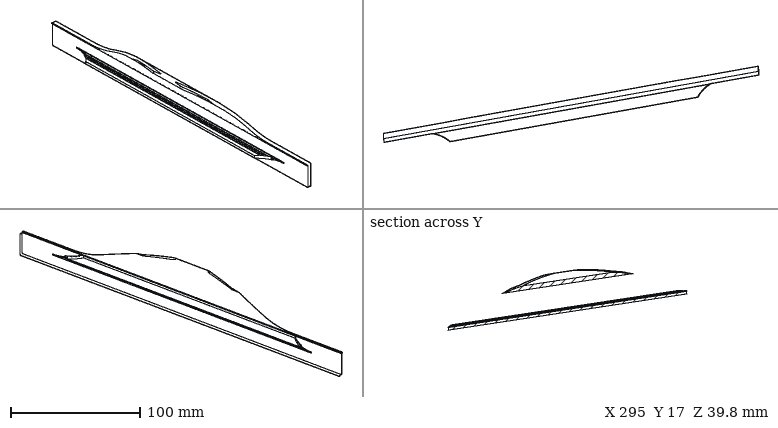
import cadquery as cq
import math

LENGTH = 295.0
PLATE_HEIGHT = 21.0
PLATE_THICKNESS = 3.0
CORNER_RADIUS = 1.0

HOOD_BASE_Z = 20.0
HOOD_BASE_THICKNESS = 4.0
HOOD_REACH = 17.0
HOOD_OUTER_RADIUS = 20.3
HOOD_INNER_RADIUS = 16.5
TIP_EDGE_RADIUS = 1.2
TIP_HALF_WIDTH = 15.0
TIP_TAPER_LENGTH = 26.0
TIP_TAPER_DEPTH = 6.0
BELL_APEX_Z = 39.9
BELL_RADIUS = 213.0
BELL_HALF_WIDTH = 101.0

SHELF_DEPTH = 13.5
SHELF_BOTTOM_Z = 9.0
SHELF_HEIGHT = 2.85
SHELF_ROOT_HALF_LENGTH = 119.5
SHELF_FRONT_HALF_LENGTH = 97.5
WEB_BOTTOM_Z = 9.6
WEB_THICKNESS = 1.0
TOOTH_START_DEPTH = 5.0
TOOTH_COUNT = 4
TOOTH_PITCH = 1.8
TOOTH_SLOPE = math.radians(11.0)


def make_plate():
    """Flat strip that reaches up to the base of the hood."""
    return cq.Workplane("XY").box(
        LENGTH, PLATE_THICKNESS, HOOD_BASE_Z, centered=(True, False, False)
    ).translate((0, -PLATE_THICKNESS, 0))


def make_hood_strip():
    """Full-length curved strip, drawn as a YZ section and extruded along X."""
    center_y = -HOOD_OUTER_RADIUS
    tip_offset = HOOD_OUTER_RADIUS - HOOD_REACH
    tip_top_z = HOOD_BASE_Z + math.sqrt(HOOD_OUTER_RADIUS**2 - tip_offset**2)
    middle = HOOD_OUTER_RADIUS * math.sqrt(0.5)
    inner_center_y = -HOOD_BASE_THICKNESS - HOOD_INNER_RADIUS
    inner_middle = HOOD_INNER_RADIUS * math.sqrt(0.5)
    inner_tip_offset = inner_center_y + HOOD_REACH
    tip_bottom_z = PLATE_HEIGHT + math.sqrt(HOOD_INNER_RADIUS**2 - inner_tip_offset**2)
    strip = (
        cq.Workplane("YZ", origin=(-LENGTH / 2, 0, 0))
        .moveTo(0, HOOD_BASE_Z)
        .threePointArc((center_y + middle, HOOD_BASE_Z + middle), (-HOOD_REACH, tip_top_z))
        .lineTo(-HOOD_REACH, tip_bottom_z)
        .threePointArc(
            (inner_center_y + inner_middle, PLATE_HEIGHT + inner_middle),
            (-HOOD_BASE_THICKNESS, PLATE_HEIGHT),
        )
        .lineTo(-HOOD_BASE_THICKNESS, HOOD_BASE_Z)
        .close()
        .extrude(LENGTH)
    )
    return strip.faces("<Y").edges("|X").fillet(TIP_EDGE_RADIUS)


def make_bell_outline():
    """Block whose top follows the hood outline: flat ends, concave flares and a wide crown."""
    half = LENGTH / 2
    crown_center_z = BELL_APEX_Z - BELL_RADIUS
    rise = PLATE_HEIGHT - crown_center_z
    flare_radius = (BELL_HALF_WIDTH**2 + rise**2 - BELL_RADIUS**2) / (2 * (BELL_RADIUS - rise))
    flare_center_z = PLATE_HEIGHT + flare_radius
    angle = math.asin(BELL_HALF_WIDTH / (BELL_RADIUS + flare_radius))
    join_x = BELL_RADIUS * math.sin(angle)
    join_z = crown_center_z + BELL_RADIUS * math.cos(angle)
    flare_mid_x = BELL_HALF_WIDTH - flare_radius * math.sin(angle / 2)
    flare_mid_z = flare_center_z - flare_radius * math.cos(angle / 2)
    return (
        cq.Workplane("XZ")
        .moveTo(-half, 0)
        .lineTo(-half, PLATE_HEIGHT)
        .lineTo(-BELL_HALF_WIDTH, PLATE_HEIGHT)
        .threePointArc((-flare_mid_x, flare_mid_z), (-join_x, join_z))
        .threePointArc((0, BELL_APEX_Z), (join_x, join_z))
        .threePointArc((flare_mid_x, flare_mid_z), (BELL_HALF_WIDTH, PLATE_HEIGHT))
        .lineTo(half, PLATE_HEIGHT)
        .lineTo(half, 0)
        .close()
        .extrude(HOOD_REACH)
        .edges("|Y")
        .edges("<X or >X")
        .fillet(CORNER_RADIUS)
    )


def make_hood_plan():
    """Plan shape of the hood: its front edge tapers back on both sides of a straight tip."""
    half = LENGTH / 2
    taper_x = TIP_HALF_WIDTH + TIP_TAPER_LENGTH
    taper_y = TIP_TAPER_DEPTH - HOOD_REACH
    return (
        cq.Workplane("XY")
        .moveTo(-half, 0)
        .lineTo(-half, taper_y)
        .lineTo(-taper_x, taper_y)
        .lineTo(-TIP_HALF_WIDTH, -HOOD_REACH)
        .lineTo(TIP_HALF_WIDTH, -HOOD_REACH)
        .lineTo(taper_x, taper_y)
        .lineTo(half, taper_y)
        .lineTo(half, 0)
        .close()
        .extrude(BELL_APEX_Z)
    )


def make_shelf_strip():
    """Full-length shelf section: thin web, then teeth that slope down toward the front."""
    top_z = SHELF_BOTTOM_Z + SHELF_HEIGHT
    web_top_z = WEB_BOTTOM_Z + WEB_THICKNESS
    section = (
        cq.Workplane("YZ", origin=(-LENGTH / 2, 0, 0))
        .moveTo(-PLATE_THICKNESS, WEB_BOTTOM_Z)
        .lineTo(-PLATE_THICKNESS, web_top_z)
        .lineTo(-TOOTH_START_DEPTH, web_top_z)
    )
    for tooth in range(TOOTH_COUNT):
        back = TOOTH_START_DEPTH + tooth * TOOTH_PITCH
        front = SHELF_DEPTH if tooth == TOOTH_COUNT - 1 else back + TOOTH_PITCH
        drop = (front - back) * math.tan(TOOTH_SLOPE)
        section = section.lineTo(-back, top_z).lineTo(-front, top_z - drop)
    return (
        section.lineTo(-SHELF_DEPTH, SHELF_BOTTOM_Z)
        .lineTo(-TOOTH_START_DEPTH, SHELF_BOTTOM_Z)
        .lineTo(-TOOTH_START_DEPTH, WEB_BOTTOM_Z)
        .close()
        .extrude(LENGTH)
    )


def make_shelf_outline():
    """Plan shape of the shelf: each end is an arc that leaves the plate tangentially."""
    run = SHELF_ROOT_HALF_LENGTH - SHELF_FRONT_HALF_LENGTH
    drop = SHELF_DEPTH - PLATE_THICKNESS
    radius = (run**2 + drop**2) / (2 * drop)
    half_sweep = math.asin(run / radius) / 2
    mid_x = SHELF_ROOT_HALF_LENGTH - radius * math.sin(half_sweep)
    mid_y = -PLATE_THICKNESS - radius * (1 - math.cos(half_sweep))
    return (
        cq.Workplane("XY")
        .moveTo(-SHELF_ROOT_HALF_LENGTH, -PLATE_THICKNESS)
        .threePointArc((-mid_x, mid_y), (-SHELF_FRONT_HALF_LENGTH, -SHELF_DEPTH))
        .lineTo(SHELF_FRONT_HALF_LENGTH, -SHELF_DEPTH)
        .threePointArc((mid_x, mid_y), (SHELF_ROOT_HALF_LENGTH, -PLATE_THICKNESS))
        .close()
        .extrude(PLATE_HEIGHT)
    )


hood_strip = make_hood_strip().intersect(make_hood_plan())
wall = make_plate().union(hood_strip).intersect(make_bell_outline())
shelf = make_shelf_strip().intersect(make_shelf_outline())
result = wall.union(shelf)